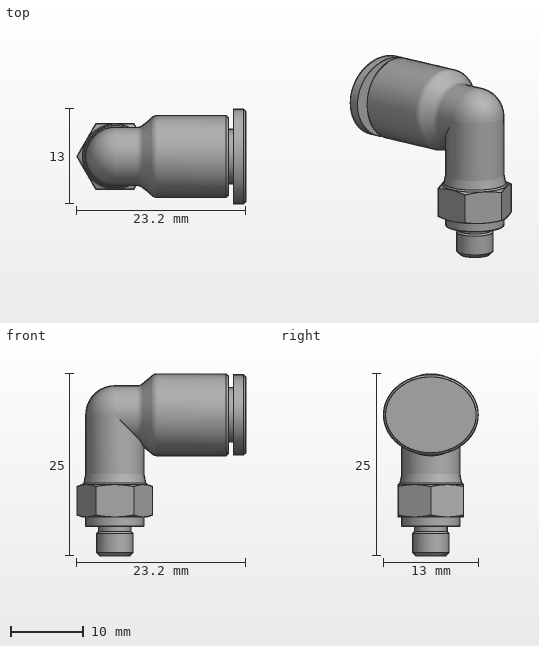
import cadquery as cq
import math

stem_radius = 4.0
thread_radius = 2.5
thread_tip_chamfer = 0.5
thread_top_chamfer = 0.25
thread_top = 3.38
relief_radius = thread_radius - thread_top_chamfer
seat_bottom = 4.08
seat_chamfer = 0.08
flare_top = 11.25
flare_bottom = 10.05
flare_radius = 4.25

hex_flats = 9.0
hex_corners = hex_flats / math.cos(math.radians(30))
hex_bottom = 5.38
hex_top = 9.82
hex_chamfer_radius = 4.45
hex_chamfer_drop = 0.28

arm_height = 19.38
socket_radius = 5.62
shoulder_angle = math.radians(40)
shoulder_start = 3.12
shoulder_blend = 1.0
socket_end = 15.6
socket_chamfer = 0.35
neck_radius = 3.75

collar_start = 16.25
overall_x = 23.15
collar_end = overall_x - hex_corners / 2
collar_half_width = 6.5
collar_half_height = 5.5
collar_chamfer = 0.3


def make_stem():
    """Turned stem from the thread tip up to the elbow centre."""
    return (
        cq.Workplane("XZ")
        .lineTo(thread_radius - thread_tip_chamfer, 0)
        .lineTo(thread_radius, thread_tip_chamfer)
        .lineTo(thread_radius, thread_top - thread_top_chamfer)
        .lineTo(relief_radius, thread_top)
        .lineTo(relief_radius, seat_bottom)
        .lineTo(stem_radius - seat_chamfer, seat_bottom)
        .lineTo(stem_radius, seat_bottom + seat_chamfer)
        .lineTo(stem_radius, hex_top - hex_chamfer_drop)
        .lineTo(hex_chamfer_radius, hex_top - hex_chamfer_drop)
        .lineTo(hex_chamfer_radius, hex_top)
        .lineTo(flare_radius, flare_bottom)
        .lineTo(stem_radius, flare_top)
        .lineTo(stem_radius, arm_height)
        .lineTo(0, arm_height)
        .close()
        .revolve(360, (0, 0, 0), (0, 1, 0))
    )


def make_hex():
    """Hexagon with its corners bevelled conically at both ends."""
    corner_radius = hex_corners / 2
    prism = (
        cq.Workplane("XY")
        .workplane(offset=hex_bottom)
        .polygon(6, hex_corners)
        .extrude(hex_top - hex_bottom)
    )
    bevel_envelope = (
        cq.Workplane("XZ")
        .moveTo(0, hex_bottom)
        .lineTo(hex_chamfer_radius, hex_bottom)
        .lineTo(corner_radius, hex_bottom + hex_chamfer_drop)
        .lineTo(corner_radius, hex_top - hex_chamfer_drop)
        .lineTo(hex_chamfer_radius, hex_top)
        .lineTo(0, hex_top)
        .close()
        .revolve(360, (0, 0, 0), (0, 1, 0))
    )
    return prism.intersect(bevel_envelope)


def make_arm():
    """Turned arm: round tube, blended conical shoulder, socket and neck."""
    def blend_offset(angle):
        along = shoulder_blend * math.sin(angle)
        outward = shoulder_blend * (1 - math.cos(angle))
        return along, outward

    half_along, half_outward = blend_offset(shoulder_angle / 2)
    full_along, full_outward = blend_offset(shoulder_angle)
    cone_rise = socket_radius - stem_radius - 2 * full_outward
    cone_run = cone_rise / math.tan(shoulder_angle)
    shoulder_end = shoulder_start + cone_run + 2 * full_along

    return (
        cq.Workplane("XZ", origin=(0, 0, arm_height))
        .lineTo(0, stem_radius)
        .lineTo(shoulder_start, stem_radius)
        .threePointArc(
            (shoulder_start + half_along, stem_radius + half_outward),
            (shoulder_start + full_along, stem_radius + full_outward),
        )
        .lineTo(shoulder_end - full_along, socket_radius - full_outward)
        .threePointArc(
            (shoulder_end - half_along, socket_radius - half_outward),
            (shoulder_end, socket_radius),
        )
        .lineTo(socket_end - socket_chamfer, socket_radius)
        .lineTo(socket_end, socket_radius - socket_chamfer)
        .lineTo(socket_end, neck_radius)
        .lineTo(collar_start, neck_radius)
        .lineTo(collar_start, 0)
        .close()
        .revolve(360, (0, 0, 0), (1, 0, 0))
    )


def make_collar():
    """Oval collar with its outer rim chamfered."""
    return (
        cq.Workplane("YZ", origin=(collar_start, 0, arm_height))
        .ellipse(collar_half_width, collar_half_height)
        .extrude(collar_end - collar_start)
        .faces(">X")
        .chamfer(collar_chamfer)
    )


elbow = cq.Workplane("XY", origin=(0, 0, arm_height)).sphere(stem_radius)

result = make_stem().union(make_hex()).union(elbow).union(make_arm()).union(make_collar())